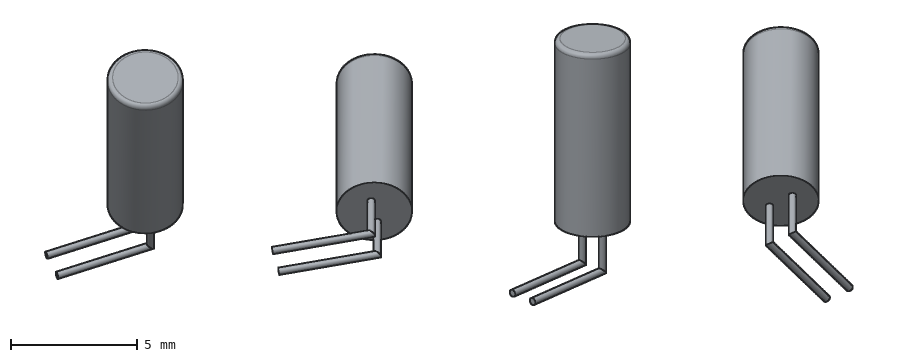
import cadquery as cq

can_diameter = 3.0
can_height = 8.0
top_fillet = 0.2

lead_diameter = 0.3
lead_pitch = 1.11
overall_height = 10.15
overall_depth = 5.5

can_radius = can_diameter / 2
lead_radius = lead_diameter / 2
bend_z = can_height - overall_height + lead_radius
tip_y = can_radius - overall_depth


def make_can():
    can = cq.Workplane("XY").circle(can_radius).extrude(can_height)
    return can.faces(">Z").edges().fillet(top_fillet)


def make_lead(x):
    """Round wire running down from the can and out to -Y, with a mitred corner."""
    path = cq.Workplane("YZ", origin=(x, 0, 0)).polyline([(0, 0), (0, bend_z), (tip_y, bend_z)])
    profile = cq.Workplane("XY", origin=(x, 0, 0)).circle(lead_radius)
    return profile.sweep(path, transition="right")


result = make_can()
for side in (-1, 1):
    result = result.union(make_lead(side * lead_pitch / 2))